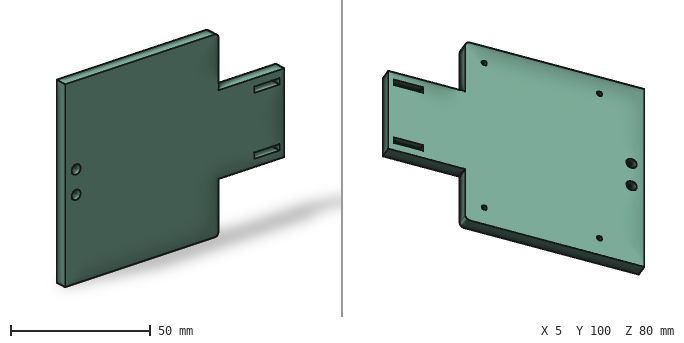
import cadquery as cq

thickness = 5.0
total_length = 100.0
height = 80.0

tongue_length = 30.0
tongue_height = 35.0
panel_length = total_length - tongue_length
corner_radius = 2.0

slot_length = 11.5
slot_height = 2.5
slot_end_gap = 2.2
slot_spacing = 26.0

pilot_diameter = 2.0
pilot_depth = 3.0
pilot_spacing_y = 45.0
pilot_spacing_z = 65.0
pilot_edge_gap = 17.5

hole_diameter = 4.0
hole_spacing = 10.0
hole_edge_gap = 5.0

near_edge = -total_length / 2
far_edge = total_length / 2
shoulder = near_edge + panel_length
front_face = -thickness / 2


def block(length, block_height, center_y, center_z=0):
    """Box through the full plate thickness."""
    return cq.Workplane("XY").box(thickness, length, block_height).translate((0, center_y, center_z))


def holes(diameter, depth, centers):
    """Round cutters entering from the -X face at (y, z) centers."""
    plane = cq.Workplane("YZ", origin=(front_face, 0, 0))
    return plane.pushPoints(centers).circle(diameter / 2).extrude(depth)


panel = block(panel_length, height, near_edge + panel_length / 2)
panel = panel.edges("|X and >Y").fillet(corner_radius)
tongue_overlap = corner_radius
tongue = block(
    tongue_length + tongue_overlap, tongue_height, shoulder + (tongue_length - tongue_overlap) / 2
)
result = panel.union(tongue)

slot_y = far_edge - slot_end_gap - slot_length / 2
for side in (-1, 1):
    result = result.cut(block(slot_length, slot_height, slot_y, side * slot_spacing / 2))

pilot_y = near_edge + pilot_edge_gap
pilot_centers = [
    (y, side * pilot_spacing_z / 2)
    for y in (pilot_y, pilot_y + pilot_spacing_y)
    for side in (-1, 1)
]
result = result.cut(holes(pilot_diameter, pilot_depth, pilot_centers))

hole_y = near_edge + hole_edge_gap
hole_centers = [(hole_y, side * hole_spacing / 2) for side in (-1, 1)]
result = result.cut(holes(hole_diameter, thickness, hole_centers))